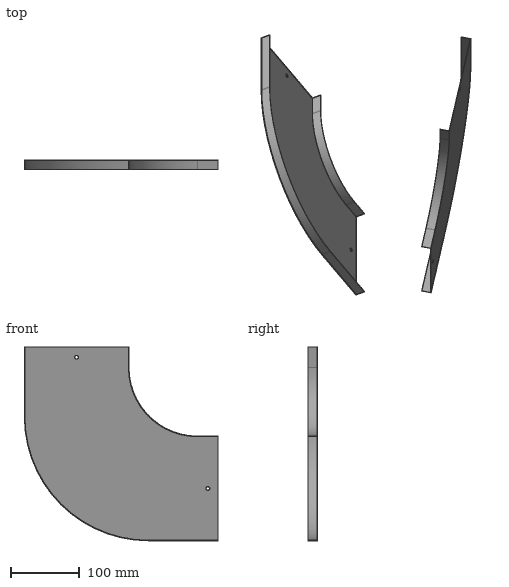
import cadquery as cq

side = 281.0
depth = 14.0
sheet = 0.75
width = 151.7
outer_straight = 101.0
inner_straight = 30.0
hole_diameter = 5.0
hole_inset = 15.0

outer_radius = side - outer_straight
inner_radius = side - width - inner_straight


def bend_profile(inset):
    """Quarter-bend outline with both curved sides moved inwards by inset."""
    near = inset
    far = width - inset
    inner_start = side - inner_straight
    return (
        cq.Workplane("XZ")
        .moveTo(near, side)
        .lineTo(near, side - outer_straight)
        .radiusArc((side - outer_straight, near), -(outer_radius - inset))
        .lineTo(side, near)
        .lineTo(side, far)
        .lineTo(inner_start, far)
        .radiusArc((far, inner_start), inner_radius + inset)
        .lineTo(far, side)
        .close()
    )


blank = bend_profile(0).extrude(depth)
channel = bend_profile(sheet).extrude(depth - sheet).translate((0, -sheet, 0))
body = blank.cut(channel)

hole_centres = [
    (width / 2, side - hole_inset),
    (side - hole_inset, width / 2),
]
holes = cq.Workplane("XZ").pushPoints(hole_centres).circle(hole_diameter / 2).extrude(sheet)

result = body.cut(holes)